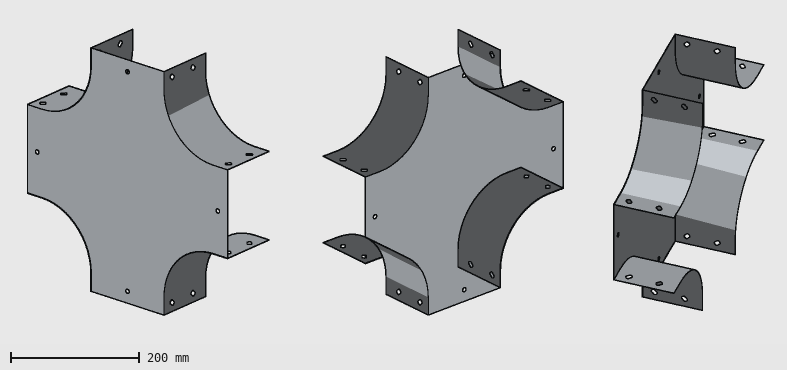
import cadquery as cq

span = 410.0
depth = 100.0
sheet = 0.8

arm_width = 150.0
end_straight = 30.0
half_span = span / 2
half_arm = arm_width / 2
corner_radius = half_span - half_arm - end_straight

plate_hole_diameter = 7.0
plate_hole_inset = 20.0

wall_hole_diameter = 10.0
wall_hole_flats = 7.0
wall_hole_tilt = 45.0
wall_hole_inset = end_straight / 2
wall_hole_depths = (20.0, 70.0)

quarter_turns = (0, 90, 180, 270)


def turned(shape, angle):
    """Turn a shape about the Y axis through the centre of the cross."""
    return shape.rotate((0, 0, 0), (0, 1, 0), angle)


def corner_block(offset):
    """Full-depth block filling one corner, its curved face moved away from the centre by offset."""
    side = half_arm + offset
    arc_end = half_span - end_straight
    return (
        cq.Workplane("XZ")
        .moveTo(side, half_span)
        .lineTo(side, arc_end)
        .radiusArc((arc_end, side), -(corner_radius - offset))
        .lineTo(half_span, side)
        .lineTo(half_span, half_span)
        .close()
        .extrude(-depth)
    )


def square_plate():
    """Square plate at the closed side, before its corners are removed."""
    return cq.Workplane("XZ").rect(span, span).extrude(-sheet)


def plate_hole():
    """Cutter for the round hole near the end of one arm."""
    return (
        cq.Workplane("XZ", origin=(0, 0, half_span - plate_hole_inset))
        .circle(plate_hole_diameter / 2)
        .extrude(-sheet)
    )


def wall_hole(plane, centre, tilt):
    """Cutter through one wall, centred in its thickness, with its flats tilted within the plane."""
    profile = (
        cq.Sketch()
        .circle(wall_hole_diameter / 2)
        .reset()
        .rect(wall_hole_diameter, wall_hole_flats, mode="i", angle=tilt)
    )
    return cq.Workplane(plane, origin=centre).placeSketch(profile).extrude(sheet, both=True)


def corner_wall():
    """Curved side wall with a straight end on each of the two arms it joins."""
    wall = corner_block(-sheet).cut(corner_block(0))
    wall_middle = half_arm - sheet / 2
    end_position = half_span - wall_hole_inset
    for hole_depth in wall_hole_depths:
        wall = wall.cut(wall_hole("YZ", (wall_middle, hole_depth, end_position), -wall_hole_tilt))
        wall = wall.cut(wall_hole("XY", (end_position, hole_depth, wall_middle), wall_hole_tilt))
    return wall


result = square_plate()
for angle in quarter_turns:
    result = result.cut(turned(corner_block(0), angle))
    result = result.cut(turned(plate_hole(), angle))
for angle in quarter_turns:
    result = result.union(turned(corner_wall(), angle))